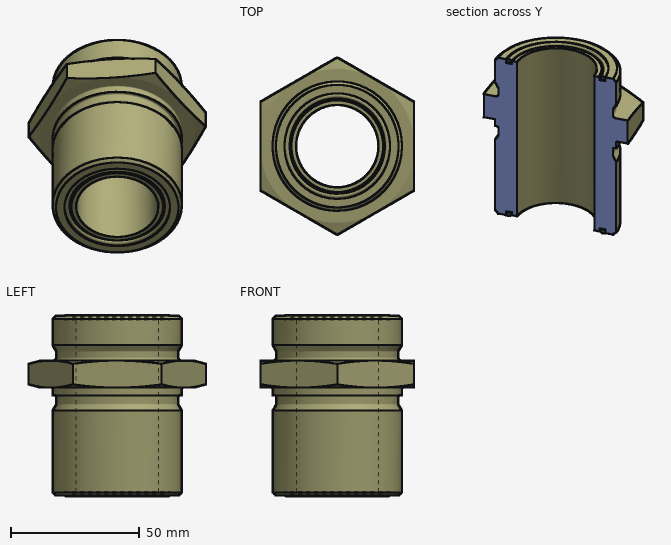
import cadquery as cq
import math

overall_length = 70.8
seal_protrusion = 0.3
face_bottom = seal_protrusion
face_top = overall_length - seal_protrusion

bore_radius = 32.0 / 2
thread_radius = 50.5 / 2
neck_radius = 47.65 / 2
end_chamfer = 1.35
lower_thread_end = 33.4
collar_bottom = 39.4
upper_thread_start = 59.0
runout_angle = math.radians(30)
runout_fillet = 1.0
collar_neck_fillet = 0.5
collar_hex_fillet = 0.4
hex_neck_fillet = 1.2

hex_flats = 60.0
hex_bottom = 42.4
hex_top = 53.0
hex_chamfer_height = 1.3
hex_corner_radius = hex_flats / 2 / math.cos(math.radians(30))

groove_outer_radius = 41.15 / 2
groove_inner_radius = 36.5 / 2
lip_recess = 0.35
lip_chamfer = 0.35
seal_section_radius = 1.0
seal_path_radius = groove_outer_radius - seal_section_radius
groove_depth = 2 * seal_section_radius - seal_protrusion

blend_radius = neck_radius + runout_fillet * (1 - math.cos(runout_angle))
blend_length = runout_fillet * math.sin(runout_angle)
cone_length = (thread_radius - blend_radius) / math.tan(runout_angle)


def blend_middle(neck_z, direction):
    """Point halfway along the run-out blend that leaves the neck at neck_z."""
    half = runout_angle / 2
    return (
        neck_radius + runout_fillet * (1 - math.cos(half)),
        neck_z + direction * runout_fillet * math.sin(half),
    )


def fillet_middle(corner_radius, corner_z, fillet, direction):
    """Middle of a concave quarter round in the corner of a cylinder and a flat shoulder."""
    offset = fillet * (1 - math.sqrt(0.5))
    return corner_radius + offset, corner_z + direction * offset


def make_turned_blank():
    lower_cone_end = lower_thread_end + cone_length
    lower_neck_start = lower_cone_end + blend_length
    upper_cone_start = upper_thread_start - cone_length
    upper_neck_end = upper_cone_start - blend_length
    return (
        cq.Workplane("XZ")
        .moveTo(bore_radius, face_bottom)
        .lineTo(thread_radius - end_chamfer, face_bottom)
        .lineTo(thread_radius, face_bottom + end_chamfer)
        .lineTo(thread_radius, lower_thread_end)
        .lineTo(blend_radius, lower_cone_end)
        .threePointArc(blend_middle(lower_neck_start, -1), (neck_radius, lower_neck_start))
        .lineTo(neck_radius, collar_bottom - collar_neck_fillet)
        .threePointArc(
            fillet_middle(neck_radius, collar_bottom, collar_neck_fillet, -1),
            (neck_radius + collar_neck_fillet, collar_bottom),
        )
        .lineTo(thread_radius, collar_bottom)
        .lineTo(thread_radius, hex_bottom - collar_hex_fillet)
        .threePointArc(
            fillet_middle(thread_radius, hex_bottom, collar_hex_fillet, -1),
            (thread_radius + collar_hex_fillet, hex_bottom),
        )
        .lineTo(thread_radius + collar_hex_fillet, hex_top)
        .lineTo(neck_radius + hex_neck_fillet, hex_top)
        .threePointArc(
            fillet_middle(neck_radius, hex_top, hex_neck_fillet, 1),
            (neck_radius, hex_top + hex_neck_fillet),
        )
        .lineTo(neck_radius, upper_neck_end)
        .threePointArc(blend_middle(upper_neck_end, 1), (blend_radius, upper_cone_start))
        .lineTo(thread_radius, upper_thread_start)
        .lineTo(thread_radius, face_top - end_chamfer)
        .lineTo(thread_radius - end_chamfer, face_top)
        .lineTo(bore_radius, face_top)
        .close()
        .revolve(360, (0, 0), (0, 1))
    )


def make_hexagon():
    """Hexagonal flange whose corners are turned down to a cone at both ends."""
    corners = [
        (
            hex_corner_radius * math.cos(math.radians(90 + 60 * i)),
            hex_corner_radius * math.sin(math.radians(90 + 60 * i)),
        )
        for i in range(6)
    ]
    prism = (
        cq.Workplane("XY", origin=(0, 0, hex_bottom))
        .polyline(corners)
        .close()
        .extrude(hex_top - hex_bottom)
    )
    turned_envelope = (
        cq.Workplane("XZ")
        .polyline([
            (bore_radius, hex_bottom),
            (hex_flats / 2, hex_bottom),
            (hex_corner_radius, hex_bottom + hex_chamfer_height),
            (hex_corner_radius, hex_top - hex_chamfer_height),
            (hex_flats / 2, hex_top),
            (bore_radius, hex_top),
        ])
        .close()
        .revolve(360, (0, 0), (0, 1))
    )
    return prism.intersect(turned_envelope)


def make_end_cutter(face_z, inward):
    """Ring groove and lowered, chamfered lip of one end; inward is the Z sign into the body."""
    lip_z = face_z + inward * lip_recess
    floor_z = face_z + inward * groove_depth
    return (
        cq.Workplane("XZ")
        .polyline([
            (bore_radius, face_z),
            (bore_radius, lip_z),
            (groove_inner_radius - lip_chamfer, lip_z),
            (groove_inner_radius, lip_z + inward * lip_chamfer),
            (groove_inner_radius, floor_z),
            (groove_outer_radius, floor_z),
            (groove_outer_radius, face_z),
        ])
        .close()
        .revolve(360, (0, 0), (0, 1))
    )


def make_fitting_body():
    body = make_turned_blank().union(make_hexagon())
    for face_z, inward in ((face_bottom, 1), (face_top, -1)):
        body = body.cut(make_end_cutter(face_z, inward))
    return body


def make_seal_ring(center_z):
    return (
        cq.Workplane("XZ")
        .center(seal_path_radius, center_z)
        .circle(seal_section_radius)
        .revolve(360, (-seal_path_radius, 0), (-seal_path_radius, 1))
    )


fitting_body = make_fitting_body()
seal_rings = [
    make_seal_ring(center_z)
    for center_z in (seal_section_radius, overall_length - seal_section_radius)
]

result = cq.Compound.makeCompound([fitting_body.val(), *[ring.val() for ring in seal_rings]])